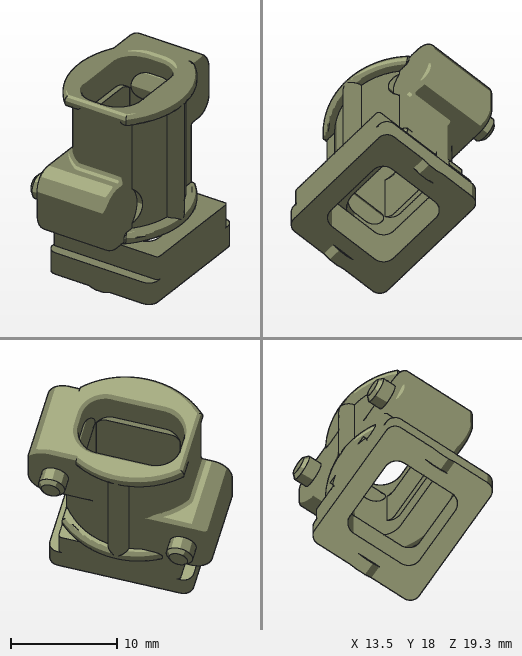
import cadquery as cq
import math

TOP_Z = 19.3
EDGE_R = 0.5
THROUGH = 3 * TOP_Z
TOLERANCE = 0.0002

PLATE_X, PLATE_Y = 11.85, 14.03
PLATE_BOTTOM_Z, PLATE_TOP_Z = 0.23, 2.59
PLATE_CORNER_R = 1.0
BLOCK_Y = 11.89
BLOCK_TOP_Z = 5.1
BLOCK_CORNER_R = 0.3
OPENING_X, OPENING_Y, OPENING_R = 7.91, 8.5, 1.27
FOOT_TOP_WIDTH, FOOT_TIP_WIDTH, FOOT_LENGTH = 2.43, 0.96, 1.35

SLIT_HEIGHT = 0.1
SLIT_START_X = -1.39
NECK_BOTTOM_Z = BLOCK_TOP_Z + SLIT_HEIGHT
MID_Z = (TOP_Z + NECK_BOTTOM_Z) / 2
BASE_LEFT_X = -PLATE_X / 2

HALF_Y = BLOCK_Y / 2
FLANGE_LEFT_X, FLANGE_RIGHT_X = -7.06, 4.77
FLANGE_R = 8.38
FLANGE_HEIGHT = 1.18
FLANGE_EDGE_R = 0.48
FLANGE_ROOT_R, FLANGE_ROOT_LENGTH = 0.42, 5.6

NECK_R = 7.05
NECK_LEFT_X, NECK_RIGHT_X = -6.23, 3.78
RIB_R = 1.02

LUG_RIGHT_X = 2.08
LUG_SPAN_Y = 18.0
LUG_HEIGHT = 6.81
LUG_CORNER_R = 2.0
PIN_Y, PIN_Z = 6.23, 15.7
PIN_R = 1.3
PIN_TIP_X = -7.62
PIN_CHAMFER = 0.39
CLEARANCE_R = 2.5

BORE_X = -1.45
BORE_WIDTH, BORE_LENGTH, BORE_CORNER_R = 5.98, 9.8, 2.34
RAIL_DEPTH = 0.29
RAIL_TOP_Z = 16.17
RAIL_DROP = 0.33
RAIL_BLEND_R = 1.55
BOSS_R = 2.05


def arc_sag(radius, half_chord):
    return radius - math.sqrt(radius**2 - half_chord**2)


def turned(shape):
    """Half a turn about the X line through mid-height."""
    return shape.rotate((0, 0, MID_Z), (1, 0, MID_Z), 180)


def with_turned(shape):
    return shape.union(turned(shape))


def box(x_min, x_max, y_min, y_max, z_min, z_max):
    size = (x_max - x_min, y_max - y_min, z_max - z_min)
    return cq.Workplane("XY").box(*size, centered=False).translate((x_min, y_min, z_min))


def x_cylinder(radius, x_min, x_max, y, z):
    return cq.Workplane("YZ", origin=(x_min, y, z)).circle(radius).extrude(x_max - x_min)


def rounded_prism(x_center, width, length, corner_r, z_min, z_max):
    prism = cq.Workplane("XY", origin=(x_center, 0, z_min)).rect(width, length).extrude(z_max - z_min)
    return prism.edges("|Z").fillet(corner_r)


def lens(left_x, right_x, radius, z_min, z_max):
    """Two bulging sides of equal radius between flat ends at +-HALF_Y."""
    sag = arc_sag(radius, HALF_Y)
    outline = (
        cq.Workplane("XY", origin=(0, 0, z_min))
        .moveTo(left_x + sag, -HALF_Y)
        .lineTo(right_x - sag, -HALF_Y)
        .threePointArc((right_x, 0), (right_x - sag, HALF_Y))
        .lineTo(left_x + sag, HALF_Y)
        .threePointArc((left_x, 0), (left_x + sag, -HALF_Y))
        .close()
    )
    return outline.extrude(z_max - z_min)


def base():
    plate = rounded_prism(0, PLATE_X, PLATE_Y, PLATE_CORNER_R, PLATE_BOTTOM_Z, PLATE_TOP_Z)
    root_top_z = NECK_BOTTOM_Z + EDGE_R
    block = rounded_prism(0, PLATE_X, BLOCK_Y, BLOCK_CORNER_R, PLATE_BOTTOM_Z, root_top_z)
    block = block.cut(box(-THROUGH, THROUGH, 0, THROUGH, NECK_BOTTOM_Z, THROUGH))
    neck_root = lens(NECK_LEFT_X, NECK_RIGHT_X, NECK_R, NECK_BOTTOM_Z, root_top_z)
    right_top = box(SLIT_START_X, THROUGH, -THROUGH, THROUGH, BLOCK_TOP_Z, THROUGH)
    body = plate.union(block.union(neck_root).cut(right_top))
    foot_outline = [
        (-FOOT_TOP_WIDTH / 2, PLATE_BOTTOM_Z),
        (-FOOT_TIP_WIDTH / 2, 0),
        (FOOT_TIP_WIDTH / 2, 0),
        (FOOT_TOP_WIDTH / 2, PLATE_BOTTOM_Z),
    ]
    for start_y in (PLATE_Y / 2, -PLATE_Y / 2 + FOOT_LENGTH):
        foot = cq.Workplane("XZ", origin=(0, start_y, 0)).polyline(foot_outline).close()
        body = body.union(foot.extrude(FOOT_LENGTH))
    return body


def top_flange():
    bottom_z = TOP_Z - FLANGE_HEIGHT
    flange = lens(FLANGE_LEFT_X, FLANGE_RIGHT_X, FLANGE_R, bottom_z, TOP_Z)
    flange = flange.faces(">Z").edges("not >Y").fillet(FLANGE_EDGE_R)
    return flange.faces("<Z").edges().fillet(FLANGE_EDGE_R)


def neck():
    bottom_z, top_z = NECK_BOTTOM_Z + FLANGE_EDGE_R, TOP_Z - FLANGE_EDGE_R
    tube = lens(NECK_LEFT_X, NECK_RIGHT_X, NECK_R, bottom_z, top_z)
    column = box(BORE_X, LUG_RIGHT_X, -HALF_Y, HALF_Y, bottom_z, top_z)
    body = tube.union(column)
    corners = [edge for edge in body.edges("|Z").objects if abs(edge.Center().y) > HALF_Y - TOLERANCE]
    return body.newObject(corners).fillet(EDGE_R)


def ribs():
    """Round vertical ribs reaching out to the rims of the flanges."""
    centers = [(FLANGE_LEFT_X + RIB_R, 0), (FLANGE_RIGHT_X - RIB_R, 0)]
    start_z = NECK_BOTTOM_Z + FLANGE_EDGE_R
    height = TOP_Z - FLANGE_EDGE_R - start_z
    return cq.Workplane("XY", origin=(0, 0, start_z)).pushPoints(centers).circle(RIB_R).extrude(height)


def top_lug():
    lug = box(BASE_LEFT_X, LUG_RIGHT_X, 0, LUG_SPAN_Y / 2, TOP_Z - LUG_HEIGHT, TOP_Z)
    lug = lug.edges("|X and >Y").fillet(LUG_CORNER_R)
    return lug.faces("<X or >X").edges("not <Y").fillet(EDGE_R)


def top_pin():
    pin = x_cylinder(PIN_R, PIN_TIP_X, BASE_LEFT_X + EDGE_R, PIN_Y, PIN_Z)
    return pin.faces("<X").chamfer(PIN_CHAMFER)


def bore():
    """Hole through the neck, narrowed by sloped rails and by a round boss behind each pin."""
    hole = rounded_prism(BORE_X, BORE_WIDTH, BORE_LENGTH, BORE_CORNER_R, BLOCK_TOP_Z, TOP_Z)
    narrow_half = BORE_WIDTH / 2 - RAIL_DEPTH
    strip = box(BORE_X - narrow_half, BORE_X + narrow_half, -THROUGH, THROUGH, 0, THROUGH)
    narrow_hole = hole.intersect(strip)
    narrow_hole = narrow_hole.edges("|Z and (>X or <X)").fillet(RAIL_BLEND_R)
    rail_outline = [
        (narrow_half - RAIL_DEPTH, RAIL_TOP_Z - 2 * RAIL_DROP),
        (narrow_half - RAIL_DEPTH, MID_Z),
        (BORE_WIDTH / 2, MID_Z),
        (BORE_WIDTH / 2, RAIL_TOP_Z),
    ]
    rail = cq.Workplane("XZ", origin=(BORE_X, BORE_LENGTH / 2, 0)).polyline(rail_outline).close()
    rail = rail.extrude(BORE_LENGTH)
    rails = with_turned(rail.union(rail.mirror("YZ", (BORE_X, 0, 0)))).cut(narrow_hole)
    boss = x_cylinder(BOSS_R, BASE_LEFT_X, LUG_RIGHT_X, PIN_Y, PIN_Z)
    return hole.cut(rails).cut(with_turned(boss))


def is_lug_root(edge):
    """True for the inside corner between the underside of the top lug and the neck."""
    bounds = edge.BoundingBox()
    lug_bottom_z = TOP_Z - LUG_HEIGHT
    level = abs(bounds.zmin - lug_bottom_z) < TOLERANCE and abs(bounds.zmax - lug_bottom_z) < TOLERANCE
    return level and bounds.ymax < HALF_Y + TOLERANCE


def under_flange_fillet():
    """Concave strip between the -X side of the block and the underside of the lower flange."""
    r = FLANGE_ROOT_R
    half_length = FLANGE_ROOT_LENGTH / 2
    x_far, z_low = BASE_LEFT_X - r, NECK_BOTTOM_Z - r
    strip = box(x_far, BASE_LEFT_X + r, -half_length, half_length, z_low, NECK_BOTTOM_Z)
    hollow = cq.Workplane("XZ", origin=(x_far, half_length, z_low)).circle(r)
    return strip.cut(hollow.extrude(FLANGE_ROOT_LENGTH))


def is_bore_rim(edge):
    """True for an edge centered within the length and width of the bore."""
    center = edge.Center()
    inside_x = abs(center.x - BORE_X) < BORE_WIDTH / 2 + TOLERANCE
    inside_y = abs(center.y) < BORE_LENGTH / 2 + TOLERANCE
    return inside_x and inside_y


top_half = neck().union(top_lug())
lug_roots = [edge for edge in top_half.edges().objects if is_lug_root(edge)]
top_half = top_half.newObject(lug_roots).fillet(EDGE_R)

upper = with_turned(top_half).union(ribs())
for feature in (top_flange(), top_pin()):
    upper = upper.union(with_turned(feature))
clearance = x_cylinder(CLEARANCE_R, LUG_RIGHT_X, THROUGH, PIN_Y, PIN_Z)
upper = upper.cut(with_turned(clearance))

opening = rounded_prism(0, OPENING_X, OPENING_Y, OPENING_R, 0, BLOCK_TOP_Z)
result = base().union(upper).union(under_flange_fillet()).cut(bore()).cut(opening)
bore_rim = [edge for edge in result.faces(">Z").edges().objects if is_bore_rim(edge)]
result = result.newObject(bore_rim).fillet(EDGE_R)